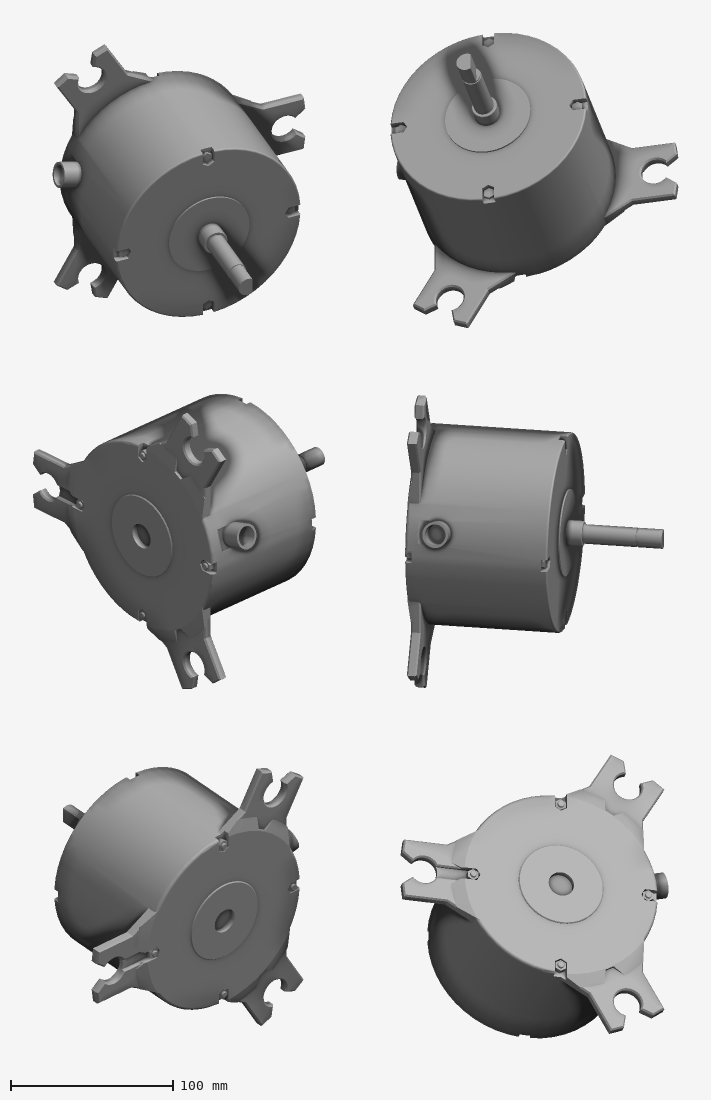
import cadquery as cq
import math


length = 151.0
cover_face = 0.8
lug_front = 2.9
lug_back = 9.0
body_back = 90.2
pad_back = 91.3
collar_back = 101.3
neck_start = 134.8

body_dia = 124.0
body_radius = body_dia / 2
cover_round = (body_dia - 120.0) / 2
back_round = 1.1
pad_dia = 54.0
pad_chamfer = 0.5
recess_dia = 16.0
recess_depth = 4.0

shaft_dia = 12.0
collar_dia = 15.9
collar_chamfer = 0.4
neck_dia = 11.0
neck_length = 1.1
flat_height = 3.0

lug_angles = (0, 120, 240)
lug_half_width = 19.7
web_apothem = 53.0
side_end = 99.2
tip_point = (100.3, 10.7)
mouth_point = (94.5, 6.1)
hook_radius = 86.5
hook_dia = 17.6
lug_edge = 1.0
ramp_inner_radius = 61.5
ramp_outer_radius = 69.9
ramp_gap_inner = 3.0
ramp_gap_angle = 30

bolt_angles = (0, 90, 180, 270)
bolt_circle_radius = 55.7
pocket_width = 7.7
pocket_depth = 4.2
pocket_reach = body_radius + 2
stud_dia = 4.2
stud_chamfer = 0.4
nut_corner_dia = 7.5
nut_height = 3.6
head_height = 2.0

outlet_angle = 165
outlet_x = 21.6
outlet_dia = 16.0
outlet_bore_dia = 13.0
outlet_end = 73.5
outlet_floor = 57.0
seat_width = 15.0
seat_start = 8.6
seat_ramp_end = 11.7
seat_depth = 2.1


def across(x):
    """Workplane square to the shaft at X = x, with local axes Y and Z."""
    return cq.Workplane("YZ", origin=(x, 0, 0))


def disc(dia, start, end):
    return across(start).circle(dia / 2).extrude(end - start)


def turned(shape, angle):
    return shape.rotate((0, 0, 0), (1, 0, 0), angle)


def make_body():
    body = disc(body_dia, cover_face, body_back)
    body = body.faces("<X").edges().fillet(cover_round)
    body = body.faces(">X").edges().fillet(back_round)
    front_pad = disc(pad_dia, 0, cover_face + pad_chamfer).faces("<X").edges().chamfer(pad_chamfer)
    return body.union(front_pad).union(disc(pad_dia, body_back, pad_back))


def make_shaft():
    collar = disc(collar_dia, body_back, collar_back).faces(">X").edges().chamfer(collar_chamfer)
    neck_end = neck_start + neck_length
    shaft = disc(shaft_dia, body_back, neck_start)
    shaft = shaft.union(disc(neck_dia, body_back, length))
    shaft = shaft.union(disc(shaft_dia, neck_end, length))
    flat_cut = (
        cq.Workplane("XY")
        .box(length - neck_end, shaft_dia, shaft_dia, centered=(False, False, True))
        .translate((neck_end, flat_height, 0))
    )
    return collar.union(shaft.cut(flat_cut))


def lug_blank(start, end):
    """One lug along +Y, with the web that flares out to the body."""
    flare = 2 * web_apothem - math.sqrt(3) * lug_half_width
    root_half_width = web_apothem * math.sqrt(3) / 2
    side = [
        (web_apothem / 2, root_half_width),
        (flare, lug_half_width),
        (side_end, lug_half_width),
        tip_point,
        mouth_point,
    ]
    mirrored = [(y, -z) for y, z in reversed(side)]
    outline = [(0, 0)] + side + [(hook_radius, 0)] + mirrored
    blank = across(start).polyline(outline).close().extrude(end - start)
    hook = across(start).center(hook_radius, 0).circle(hook_dia / 2).extrude(end - start)
    return blank.cut(hook)


def make_lug():
    plate = lug_blank(lug_front, lug_back)
    plate = plate.faces("<X or >X").edges().chamfer(lug_edge)

    cone = (
        cq.Workplane("XY")
        .polyline([
            (cover_face, 0),
            (cover_face, ramp_inner_radius),
            (lug_front, ramp_outer_radius),
            (lug_back - lug_edge, ramp_outer_radius),
            (lug_back - lug_edge, 0),
        ])
        .close()
        .revolve(360, (0, 0, 0), (1, 0, 0))
    )
    gap_length = ramp_outer_radius - ramp_inner_radius
    gap_outer = ramp_gap_inner + gap_length * math.tan(math.radians(ramp_gap_angle))
    gap = (
        across(0)
        .polyline([
            (body_radius, ramp_gap_inner),
            (body_radius + gap_length, gap_outer),
            (body_radius + gap_length, -gap_outer),
            (body_radius, -ramp_gap_inner),
        ])
        .close()
        .extrude(lug_front)
    )
    ramps = lug_blank(cover_face, lug_back - lug_edge).intersect(cone).cut(gap)
    return plate.union(ramps)


def hexagon(corner_dia, start, end):
    """Hexagonal prism on the +Y bolt axis, one corner pointing outwards."""
    return across(start).center(bolt_circle_radius, 0).polygon(6, corner_dia).extrude(end - start)


def pocket(start, end, reach):
    """Hexagonal bolt pocket on the +Y side, open outwards to the radius reach."""
    seat = hexagon(pocket_width / math.cos(math.radians(30)), start, end)
    run = reach - bolt_circle_radius
    slot = across(start).center(bolt_circle_radius + run / 2, 0).rect(run, pocket_width).extrude(end - start)
    return seat.union(slot)


def upright(fastener, angle):
    """Fastener moved to a bolt angle, with two of its corners pointing along Z."""
    bolt_axis = ((0, bolt_circle_radius, 0), (1, bolt_circle_radius, 0))
    return turned(fastener.rotate(*bolt_axis, 90 - angle), angle)


def add_bolts(motor):
    front_floor = cover_face + pocket_depth
    back_floor = body_back - pocket_depth
    stud = across(0).center(bolt_circle_radius, 0).circle(stud_dia / 2).extrude(front_floor)
    stud = stud.faces("<X").edges().chamfer(stud_chamfer)
    nut = hexagon(nut_corner_dia, front_floor - nut_height, front_floor).union(stud)
    head = hexagon(nut_corner_dia, back_floor, back_floor + head_height)
    for angle in bolt_angles:
        reach = hook_radius if angle in lug_angles else pocket_reach
        motor = motor.cut(turned(pocket(0, front_floor, reach), angle))
        motor = motor.cut(turned(pocket(back_floor, body_back, pocket_reach), angle))
        motor = motor.union(upright(nut, angle)).union(upright(head, angle))
    return motor


def chamfer_lug_slot(motor):
    """Break the front edges of the bolt slot that runs along the +Y lug."""
    half_width = pocket_width / 2
    wide_half = half_width + lug_edge
    start = body_radius + (wide_half - ramp_gap_inner) / math.tan(math.radians(ramp_gap_angle))
    wedge = (
        cq.Workplane("XZ", origin=(0, start, 0))
        .polyline([
            (lug_front, -wide_half),
            (lug_front + lug_edge, -half_width),
            (lug_front + lug_edge, half_width),
            (lug_front, wide_half),
        ])
        .close()
        .extrude(start - hook_radius)
    )
    return motor.cut(wedge)


def add_outlet(motor):
    floor = body_radius - seat_depth
    seat = (
        cq.Workplane("XY")
        .polyline([
            (seat_start, body_radius),
            (seat_ramp_end, floor),
            (outlet_x, floor),
            (outlet_x, body_radius),
        ])
        .close()
        .extrude(seat_width / 2, both=True)
    )
    along = cq.Workplane("XZ", origin=(outlet_x, outlet_floor, 0))
    tube = along.circle(outlet_dia / 2).extrude(outlet_floor - outlet_end)
    bore = along.circle(outlet_bore_dia / 2).extrude(outlet_floor - outlet_end)
    motor = motor.cut(turned(seat, outlet_angle))
    motor = motor.union(turned(tube, outlet_angle))
    return motor.cut(turned(bore, outlet_angle))


result = make_body().union(make_shaft())
for lug_angle in lug_angles:
    result = result.union(turned(make_lug(), lug_angle))
result = add_bolts(result)
result = chamfer_lug_slot(result)
result = add_outlet(result)
result = result.cut(disc(recess_dia, 0, recess_depth))